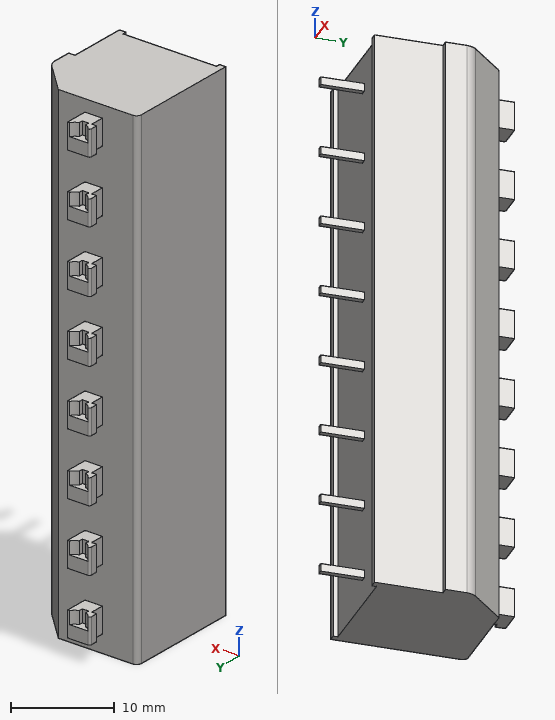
import cadquery as cq

height = 59.0
base_width = 13.0
nose_width = 13.75
depth = 13.8
nose_underside = 6.95
nose_straight_top = 9.15
slope_end_x = 13.35
slope_end_y = 10.15
slope_start_x = 9.7
nose_arc_mid = (13.6, 9.7)
back_corner_radius = 0.6

recess_left = 0.75
recess_right = 12.15
recess_depth = 0.5

pole_count = 8
pitch = 7.5
first_pin_z = 3.05
first_lever_z = 3.6

pin_x = 8.25
pin_width = 0.6
pin_height = 0.8
pin_tip_y = -3.95

lever_top_y = 16.5
lever_right = 6.45
lever_stem_left = 4.3
lever_lip_left = 3.7
lever_lip_thickness = 1.05
lever_height = 3.0
lip_edge_radius = 0.25

dish_width = 2.25
dish_depth = 0.65
slot_width = 0.75
slot_depth = 1.05
notch_height = lever_height / 2


def make_housing():
    body = (
        cq.Workplane("XY")
        .lineTo(base_width, 0)
        .lineTo(base_width, nose_underside)
        .lineTo(nose_width, nose_underside)
        .lineTo(nose_width, nose_straight_top)
        .threePointArc(nose_arc_mid, (slope_end_x, slope_end_y))
        .lineTo(slope_start_x, depth)
        .lineTo(back_corner_radius, depth)
        .radiusArc((0, depth - back_corner_radius), -back_corner_radius)
        .close()
        .extrude(height)
    )
    recess = cq.Workplane("XY").box(recess_right - recess_left, recess_depth, height, centered=False)
    return body.cut(recess.translate((recess_left, 0, 0)))


def make_pin():
    length = recess_depth - pin_tip_y
    pin = cq.Workplane("XY").box(pin_width, length, pin_height, centered=(True, False, True))
    return pin.translate((pin_x, pin_tip_y, 0))


def make_lever():
    lip_underside = lever_top_y - lever_lip_thickness
    lever = (
        cq.Workplane("XY")
        .moveTo(lever_stem_left, depth)
        .lineTo(lever_right, depth)
        .lineTo(lever_right, lever_top_y)
        .lineTo(lever_lip_left + lip_edge_radius, lever_top_y)
        .radiusArc((lever_lip_left, lever_top_y - lip_edge_radius), -lip_edge_radius)
        .lineTo(lever_lip_left, lip_underside)
        .lineTo(lever_stem_left, lip_underside)
        .close()
        .extrude(lever_height)
    )
    return lever.cut(make_notch()).translate((0, 0, -lever_height / 2))


def make_notch():
    """Round dish with a slot in its floor, in the lever tip and open towards +Z."""
    notch_x = (lever_lip_left + lever_right) / 2
    notch_bottom = cq.Workplane("XY", origin=(notch_x, lever_top_y, lever_height - notch_height))
    dish = (
        notch_bottom.moveTo(-dish_width / 2, 0)
        .threePointArc((0, -dish_depth), (dish_width / 2, 0))
        .close()
        .extrude(notch_height)
    )
    slot = notch_bottom.rect(slot_width, 2 * slot_depth).extrude(notch_height)
    return dish.union(slot)


result = make_housing()
for pole in range(pole_count):
    rise = pole * pitch
    result = result.union(make_pin().translate((0, 0, first_pin_z + rise)))
    result = result.union(make_lever().translate((0, 0, first_lever_z + rise)))